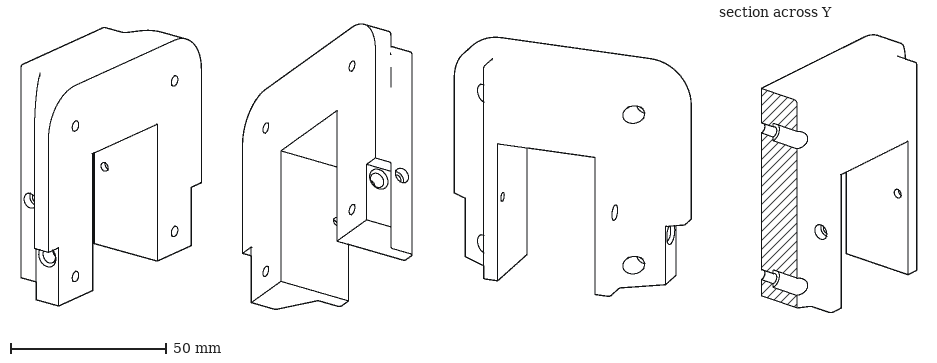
import cadquery as cq

depth = 25.85
width = 80.0
height = 73.45

block_half_width = 22.0
wing_root_x = 8.4
wing_tip_x = 20.0
corner_radius = 14.1
edge_radius = 1.0

slot_width = 33.7
slot_height = 47.2

notch_width = 5.3
notch_height = 20.1

mount_spacing = 51.85
mount_lower_z = 7.55
mount_diameter = 3.4
mount_head_diameter = 6.0
mount_floor_thickness = 5.0

leg_hole_x = 4.3
leg_hole_z = 27.45
leg_hole_diameter = 2.9
leg_head_diameter = 5.0
leg_head_depth = 3.0

pin_hole_x = 21.2
pin_hole_z = 16.0
pin_hole_diameter = 5.0
pin_hole_depth = 6.0
pin_hole_chamfer = 1.0

half_width = width / 2
notch_face_y = half_width - notch_width
sides = (-1, 1)


def rod_along_x(diameter, x_start, x_end, y, z):
    """Cylinder parallel to X between two X positions."""
    start = cq.Vector(x_start, y, z)
    solid = cq.Solid.makeCylinder(diameter / 2, x_end - x_start, start, cq.Vector(1, 0, 0))
    return cq.Workplane(obj=solid)


def rod_into_side(diameter, x, z, y_outer, length, side):
    """Cylinder parallel to Y, running inward from the given side."""
    start = cq.Vector(x, side * y_outer, z)
    solid = cq.Solid.makeCylinder(diameter / 2, length, start, cq.Vector(0, -side, 0))
    return cq.Workplane(obj=solid)


def make_body():
    """Stepped plan outline, extruded upward, with round corners and front edges."""
    outline = [
        (0, -block_half_width),
        (wing_root_x, -block_half_width),
        (wing_tip_x, -half_width),
        (depth, -half_width),
        (depth, half_width),
        (wing_tip_x, half_width),
        (wing_root_x, block_half_width),
        (0, block_half_width),
    ]
    body = cq.Workplane("XY").polyline(outline).close().extrude(height)
    top_corners = body.faces(">Y or <Y").edges("|X and >Z")
    body = top_corners.fillet(corner_radius)
    front_region = cq.selectors.BoxSelector(
        (-edge_radius, -width, -edge_radius),
        (wing_tip_x + edge_radius, width, height + edge_radius),
    )
    front_edges = body.edges("not <Z").edges(front_region)
    return front_edges.fillet(edge_radius)


def cut_slot(body):
    """Opening between the legs, through the full depth."""
    slot = cq.Workplane("XY").box(depth, slot_width, slot_height, centered=(False, True, False))
    return body.cut(slot)


def cut_notches(body):
    """Rectangular notch below each outer side."""
    for side in sides:
        notch = cq.Workplane("XY").box(depth, notch_width, notch_height, centered=(False, True, False))
        body = body.cut(notch.translate((0, side * (half_width - notch_width / 2), 0)))
    return body


def cut_mount_holes(body):
    """Counterbored through holes at the four mounting points."""
    floor_x = depth - mount_floor_thickness
    for side in sides:
        y = side * mount_spacing / 2
        for z in (mount_lower_z, mount_lower_z + mount_spacing):
            body = body.cut(rod_along_x(mount_diameter, 0, depth, y, z))
            body = body.cut(rod_along_x(mount_head_diameter, 0, floor_x, y, z))
    return body


def cut_leg_holes(body):
    """Counterbored holes through both legs into the slot."""
    leg_thickness = block_half_width - slot_width / 2
    for side in sides:
        bore = rod_into_side(leg_hole_diameter, leg_hole_x, leg_hole_z, block_half_width, leg_thickness, side)
        head = rod_into_side(leg_head_diameter, leg_hole_x, leg_hole_z, block_half_width, leg_head_depth, side)
        body = body.cut(bore).cut(head)
    return body


def cut_pin_holes(body):
    """Blind holes with a conical mouth in the notch faces."""
    radius = pin_hole_diameter / 2
    for side in sides:
        bore = rod_into_side(
            pin_hole_diameter, pin_hole_x, pin_hole_z, notch_face_y, pin_hole_depth, side
        )
        mouth = cq.Solid.makeCone(
            radius + pin_hole_chamfer,
            radius,
            pin_hole_chamfer,
            cq.Vector(pin_hole_x, side * notch_face_y, pin_hole_z),
            cq.Vector(0, -side, 0),
        )
        body = body.cut(bore).cut(cq.Workplane(obj=mouth))
    return body


result = make_body()
result = cut_slot(result)
result = cut_notches(result)
result = cut_mount_holes(result)
result = cut_leg_holes(result)
result = cut_pin_holes(result)